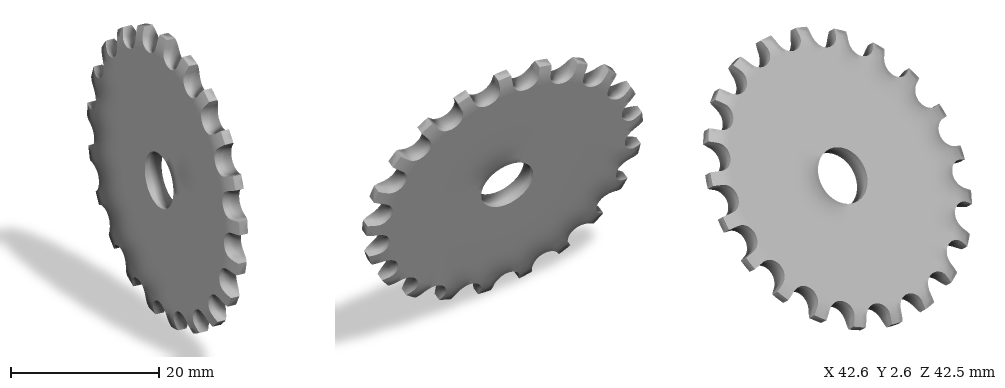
import cadquery as cq
import math

overall_width = 42.6
thickness = 2.6
bore_diameter = 8.0
tooth_count = 21
tooth_width = 1.95
root_radius = 18.2
tip_thickness = 1.28
face_radius = 18.52

pitch_angle = 360 / tooth_count
half_pitch = math.radians(pitch_angle / 2)
quarter_pitch = half_pitch / 2
half_tooth = tooth_width / 2

corner_height = (overall_width / 2 - half_tooth * math.sin(quarter_pitch)) / math.cos(quarter_pitch)
tip_radius = math.hypot(corner_height, half_tooth)

gap_center = (root_radius - half_tooth) / (1 - math.sin(half_pitch))
gap_radius = gap_center - root_radius
flank_height = gap_center * math.cos(half_pitch)

bevel_height = tip_radius - face_radius
bevel_depth = (thickness - tip_thickness) / 2
bevel_radius = (bevel_height**2 + bevel_depth**2) / (2 * bevel_depth)
bevel_mid_angle = math.asin(bevel_height / bevel_radius) / 2
bevel_mid_radius = face_radius + bevel_radius * math.sin(bevel_mid_angle)
bevel_mid_y = thickness / 2 - bevel_radius * (1 - math.cos(bevel_mid_angle))


def beveled_disc():
    """Revolve the half section, radius along X, about the Y axis."""
    half_face = thickness / 2
    half_tip = tip_thickness / 2
    bore_radius = bore_diameter / 2
    section = (
        cq.Workplane("XY")
        .moveTo(bore_radius, -half_face)
        .lineTo(face_radius, -half_face)
        .threePointArc((bevel_mid_radius, -bevel_mid_y), (tip_radius, -half_tip))
        .lineTo(tip_radius, half_tip)
        .threePointArc((bevel_mid_radius, bevel_mid_y), (face_radius, half_face))
        .lineTo(bore_radius, half_face)
        .close()
    )
    return section.revolve(360, (0, 0, 0), (0, 1, 0))


def along_tooth(side, height, tooth_angle):
    """X, Z position of a point given across and along a tooth turned from +Z toward +X."""
    x = side * math.cos(tooth_angle) + height * math.sin(tooth_angle)
    z = height * math.cos(tooth_angle) - side * math.sin(tooth_angle)
    return x, z


def tooth_gap():
    """Cutter for the gap between the +Z tooth and its neighbor on the +X side."""
    neighbor = 2 * half_pitch
    outer_height = tip_radius + gap_radius
    gap_bottom = along_tooth(0, root_radius, half_pitch)
    return (
        cq.Workplane("XZ")
        .moveTo(half_tooth, outer_height)
        .lineTo(half_tooth, flank_height)
        .threePointArc(gap_bottom, along_tooth(-half_tooth, flank_height, neighbor))
        .lineTo(*along_tooth(-half_tooth, outer_height, neighbor))
        .close()
        .extrude(thickness, both=True)
    )


result = beveled_disc()
gap = tooth_gap()
for index in range(tooth_count):
    result = result.cut(gap.rotate((0, 0, 0), (0, 1, 0), index * pitch_angle))